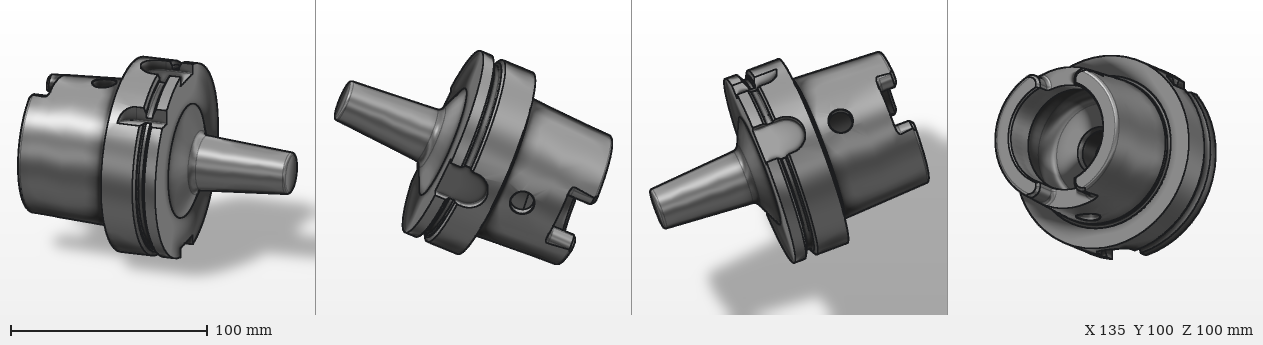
import cadquery as cq
import math

total_length = 135.0
shank_taper_end = 47.2
neck_start = 48.0
flange_face = 50.0
flange_end = 79.0

shank_mouth_radius = 35.5
shank_root_radius = 38.0
neck_radius = 37.5
shank_mouth_fillet = 1.6
relief_radius = 39.5
relief_depth = 0.8
relief_fillet = 1.5

bore_radius = 26.6
bore_chamfer = 0.8
bore_chamfer_length = 1.4
bore_end = 20.0
undercut_radius = 31.7
undercut_start = 23.0
bore_floor = 47.0
bore_floor_fillet = 6.9
centre_hole_radius = 11.1
centre_hole_chamfer = 1.5
centre_hole_chamfer_length = 2.5
centre_hole_depth = 16.2

flange_diameter = 100.0
flange_radius = flange_diameter / 2
groove_left = 66.7
groove_right = 73.2
groove_floor_left = 67.9
groove_floor_right = 71.5
groove_floor_radius = 46.0
groove_floor_fillet = 0.8
groove_side_angle = 30.0

nose_cone_radius = 29.3
nose_taper_start = 86.0
nose_taper_radius = 14.3
nose_tip_radius = 10.7
nose_root_fillet = 3.9
nose_tip_fillet = 1.4

drive_slot_half_width = 9.9
drive_slot_corner = 5.3
drive_slot_shoulder = 32.0
drive_slot_floor_fillet = 1.9
drive_slot_chamfer = 1.6
upper_slot_depth = 10.0
lower_slot_depth = 15.0

cross_hole_position = 34.8
cross_hole_radius = 6.1
cross_hole_chamfer = 0.3

keyway_half_width = 9.7
keyway_start = 54.8
keyway_floor = 44.0
notch_floor = 31.6
notch_end_radius = 7.7
keyway_floor_fillet = 0.4

clearance = 13.5


def turned(points):
    """Solid of revolution about X from (x, radius) points closed along the axis."""
    return cq.Workplane("XY").polyline(points).close().revolve(360, (0, 0, 0), (1, 0, 0))


def shank():
    body = turned([
        (0, 0),
        (0, shank_mouth_radius),
        (shank_taper_end, shank_root_radius),
        (neck_start, neck_radius),
        (flange_face + relief_depth, neck_radius),
        (flange_face + relief_depth, 0),
    ])
    body = body.faces("<X").edges().fillet(shank_mouth_fillet).cut(cross_hole())
    hole_rims = cq.selectors.BoxSelector(
        (shank_mouth_fillet, -shank_mouth_radius / 2, -shank_root_radius),
        (shank_taper_end, shank_mouth_radius / 2, shank_root_radius),
        boundingbox=True,
    )
    return body.edges(hole_rims).edges("not |Z").chamfer(cross_hole_chamfer)


def flange():
    body = turned([
        (flange_face, 0),
        (flange_face, flange_radius),
        (flange_end, flange_radius),
        (flange_end, 0),
    ])
    return body.cut(face_relief()).cut(v_groove())


def face_relief():
    """Ring-shaped recess in the flange face, rounded into the neck."""
    floor = flange_face + relief_depth
    profile = (
        cq.Workplane("XY")
        .moveTo(floor - relief_fillet, neck_radius)
        .radiusArc((floor, neck_radius + relief_fillet), -relief_fillet)
        .lineTo(floor, relief_radius)
        .lineTo(floor - relief_fillet, relief_radius)
        .close()
    )
    return profile.revolve(360, (0, 0, 0), (1, 0, 0))


def v_groove():
    slope = math.tan(math.radians(groove_side_angle))
    left_drop = (groove_floor_left - groove_left) / slope
    right_drop = (groove_right - groove_floor_right) / slope
    fillet = groove_floor_fillet
    profile = (
        cq.Workplane("XY")
        .moveTo(groove_left, flange_radius)
        .lineTo(groove_floor_left, flange_radius - left_drop)
        .lineTo(groove_floor_left, groove_floor_radius + fillet)
        .radiusArc((groove_floor_left + fillet, groove_floor_radius), -fillet)
        .lineTo(groove_floor_right - fillet, groove_floor_radius)
        .radiusArc((groove_floor_right, groove_floor_radius + fillet), -fillet)
        .lineTo(groove_floor_right, flange_radius - right_drop)
        .lineTo(groove_right, flange_radius)
        .lineTo(groove_right, flange_radius + clearance)
        .lineTo(groove_left, flange_radius + clearance)
        .close()
    )
    return profile.revolve(360, (0, 0, 0), (1, 0, 0))


def nose():
    body = turned([
        (flange_end, 0),
        (flange_end, nose_cone_radius),
        (nose_taper_start, nose_taper_radius),
        (total_length, nose_tip_radius),
        (total_length, 0),
    ])
    root = cq.selectors.NearestToPointSelector((nose_taper_start, 0, 0))
    body = body.edges("%CIRCLE").edges(root).fillet(nose_root_fillet)
    return body.faces(">X").edges().fillet(nose_tip_fillet)


def bore():
    main = turned([
        (0, 0),
        (0, bore_radius + bore_chamfer),
        (bore_chamfer_length, bore_radius),
        (bore_end, bore_radius),
        (undercut_start, undercut_radius),
        (bore_floor, undercut_radius),
        (bore_floor, 0),
    ])
    main = main.faces(">X").edges().fillet(bore_floor_fillet)
    centre_hole = turned([
        (bore_floor, 0),
        (bore_floor, centre_hole_radius + centre_hole_chamfer),
        (bore_floor + centre_hole_chamfer_length, centre_hole_radius),
        (bore_floor + centre_hole_depth, centre_hole_radius),
        (bore_floor + centre_hole_depth, 0),
    ])
    return main.union(centre_hole)


def drive_slot_profile(growth):
    """Slot outline across the axis, its side walls grown outwards by the given amount."""
    half_width = drive_slot_half_width + growth
    corner = drive_slot_corner - growth
    shoulder = drive_slot_shoulder - growth
    outer_half_width = shank_root_radius
    outer = shank_root_radius + clearance
    return (
        cq.Workplane("YZ")
        .moveTo(-half_width, 0)
        .lineTo(-half_width, shoulder - corner)
        .radiusArc((-half_width - corner, shoulder), -corner)
        .lineTo(-outer_half_width, shoulder)
        .lineTo(-outer_half_width, outer)
        .lineTo(outer_half_width, outer)
        .lineTo(outer_half_width, shoulder)
        .lineTo(half_width + corner, shoulder)
        .radiusArc((half_width, shoulder - corner), -corner)
        .lineTo(half_width, 0)
        .close()
    )


def drive_slot(depth):
    """Slot open towards +Z, with a rounded floor and chamfered mouth."""
    slot = drive_slot_profile(0).extrude(depth).faces(">X").edges().fillet(drive_slot_floor_fillet)
    mouth = drive_slot_profile(drive_slot_chamfer).extrude(drive_slot_chamfer, taper=45)
    return slot.union(mouth)


def cross_hole():
    return (
        cq.Workplane("XY", origin=(cross_hole_position, 0, 0))
        .circle(cross_hole_radius)
        .extrude(shank_root_radius + clearance, both=True)
    )


def keyway():
    """Round-ended keyway open towards +Z and the nose."""
    end_centre = keyway_start + keyway_half_width
    outer_end = flange_end + clearance
    block = (
        cq.Workplane("XY", origin=(0, 0, keyway_floor))
        .moveTo(outer_end, keyway_half_width)
        .lineTo(end_centre, keyway_half_width)
        .threePointArc((keyway_start, 0), (end_centre, -keyway_half_width))
        .lineTo(outer_end, -keyway_half_width)
        .close()
        .extrude(clearance)
    )
    return block.faces("<Z").edges("not >X").fillet(keyway_floor_fillet)


def corner_notch():
    """Square-cornered notch on the -Y, +Z side, its inner end rounded."""
    depth = flange_radius - notch_floor
    length = flange_end + clearance - keyway_start
    block = cq.Workplane("XY").box(length, depth, depth, centered=False)
    block = block.edges("|Z and <X and >Y").fillet(notch_end_radius)
    block = block.faces("<Z").edges("not (>X or <Y)").fillet(keyway_floor_fillet)
    return block.translate((keyway_start, -flange_radius, notch_floor))


def turned_over(tool):
    return tool.rotate((0, 0, 0), (1, 0, 0), 180)


result = shank().union(flange()).union(nose()).cut(bore())
result = result.cut(drive_slot(upper_slot_depth))
result = result.cut(turned_over(drive_slot(lower_slot_depth)))
result = result.cut(keyway()).cut(turned_over(keyway()))
result = result.cut(corner_notch())